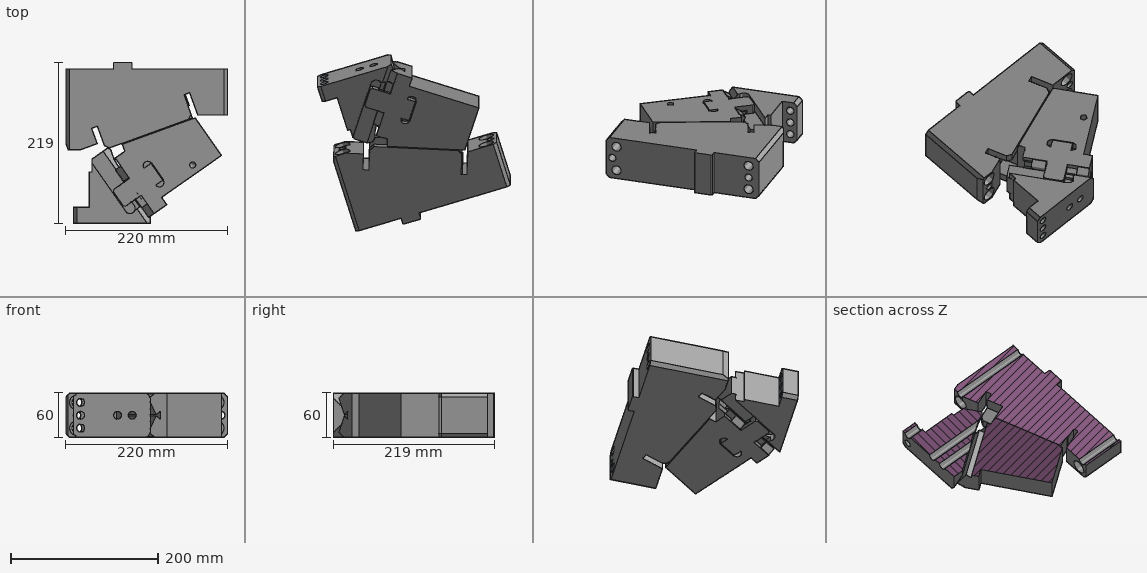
import cadquery as cq
import math

height = 60.0
half_height = height / 2
travel_angle = 35.0
face_angle = 20.0
corner_chamfer = 5.0
reach = 400.0

block_length = 220.0
block_top_y = 210.0
block_left_y = 100.0
block_right_y = 147.0
block_slope_start_x = 20.0
block_corner_x = 3.0
block_corner_y = 108.5
block_foot_t = 87.1
block_face_t = 76.0
slot_bottom_t = 109.3
slot_width = 8.0
left_slot_s = 77.2
right_slot_s = 210.7
nose_chamfer = 5.5
nose_chamfer_depth = 5.0
ridge_pocket_t = 98.0
slot_pad_thickness = 1.8
slot_pad_length = 16.0

key_left_x = 64.5
key_right_x = 90.0
key_bottom_y = 200.0
key_top_y = 219.0
key_chamfer = 1.2

block_hole_diameter = 13.0
block_bore_diameter = 20.0
block_bore_depth = 13.0
block_hole_inset = 15.0
hole_spacing_z = 17.5
dowel_diameter = 10.2
right_dowel_inset = 9.0

v_angle = 60.0
v_apex_u = 107.8
v_slope = math.tan(math.radians(v_angle))
groove_set_back = 10.0
pad_tip_gap = 1.0
pad_clearance_u = 1.8
pad_top_z = 23.2
pad_fillet = 1.2
pad_top_slope = math.tan(math.radians(90 - v_angle))

foot_left_x = 10.0
foot_right_x = 115.0
foot_height_y = 22.0
web_left_x = 31.5
web_top_y = 70.0
web_step_x = 35.4
driver_end_v = 51.3
ridge_corner_u = 105.7
ridge_corner_v = 46.5
ridge_tip_u = 107.5
ridge_flat_u = 103.0
ridge_arc_radius = 60.0
shelf_u = 76.0
shelf_z = 17.5
high_shelf_z = 22.0
shelf_end_v = -39.3
hook_slot_width = 14.0
hook_slot_end_v = -40.5
driver_hole_diameter = 10.5
driver_hole_inset = 10.0
driver_dowel_xs = (70.2, 90.2)

slider_front_u = 105.75
slider_back_u = 226.3
slider_top_t = 74.7
slider_left_s = 108.7
slider_upper_v = 34.4
slider_lower_v = -45.8
slider_foot_u = 126.9
slider_foot_v = -58.0
guide_layer = 25.0
groove_flat = 5.2
tongue_end_u = 77.5
tongue_top_v = 0.5
tongue_width = 28.0
tongue_thickness = half_height - shelf_z
tongue_chamfer = 2.5
tongue_back_u = 141.5
tongue_gap = 1.2
relief_u = 136.0
relief_radius = 6.0
hook_u = 88.8
pad_top_v = 21.0
notch_top_v = 1.8
notch_bottom_v = -41.7
notch_z = 22.9
pin_x = 172.4
pin_y = 79.4
pin_diameter = 8.4
pin_depth = 20.0
pin_tip_angle = 118.0


def place(angle, along, across):
    """XY position of a point given along and across a direction tilted from +X."""
    c = math.cos(math.radians(angle))
    s = math.sin(math.radians(angle))
    return (along * c - across * s, along * s + across * c)


def uv(u, v):
    return place(travel_angle, u, v)


def st(s, t):
    return place(face_angle, s, t)


def layer(points, z_low, z_high):
    return cq.Workplane("XY").workplane(offset=z_low).polyline(points).close().extrude(z_high - z_low)


def tilted_box(frame, along, across, z_low, z_high):
    """Box between two limits along and two limits across the uv or st frame."""
    a0, a1 = along
    b0, b1 = across
    return layer([frame(a0, b0), frame(a1, b0), frame(a1, b1), frame(a0, b1)], z_low, z_high)


def v_prism(section, v_low, v_high):
    """Prism with a section in u and z that runs along the V guide."""
    angle = math.radians(travel_angle)
    plane = cq.Plane(
        origin=(*uv(0, v_high), 0),
        xDir=(math.cos(angle), math.sin(angle), 0),
        normal=(math.sin(angle), -math.cos(angle), 0),
    )
    return cq.Workplane(plane).polyline(section).close().extrude(v_high - v_low)


def mirrored(body):
    """The body together with its mirror image below the middle plane."""
    return body.union(body.mirror("XY"))


def y_hole(x, z, diameter, y_low, length):
    """Cylinder along +Y, used as a cutter."""
    return cq.Workplane("XZ", origin=(x, y_low, z)).circle(diameter / 2).extrude(-length)


def edge_bevel(x, inward):
    """Prisms that bevel the top and bottom edges of a face normal to X."""
    section = [
        (x, half_height),
        (x + inward * corner_chamfer, half_height),
        (x, half_height - corner_chamfer),
    ]
    return mirrored(cq.Workplane("XZ").polyline(section).close().extrude(reach, both=True))


def make_block():
    left_slot_inner_s = left_slot_s + slot_width
    right_slot_outer_s = right_slot_s + slot_width
    tilt = math.radians(face_angle)
    right_slot_mouth_x = (right_slot_outer_s - block_right_y * math.sin(tilt)) / math.cos(tilt)
    outline = [
        (0, block_top_y),
        (0, block_corner_y),
        (block_corner_x, block_left_y),
        (block_slope_start_x, block_left_y),
        st(left_slot_s, block_foot_t),
        st(left_slot_s, slot_bottom_t),
        st(left_slot_inner_s, slot_bottom_t),
        st(left_slot_inner_s, block_face_t + nose_chamfer),
        st(left_slot_inner_s + nose_chamfer, block_face_t),
        st(right_slot_s, block_face_t),
        st(right_slot_s, slot_bottom_t),
        st(right_slot_outer_s, slot_bottom_t),
        (right_slot_mouth_x, block_right_y),
        (block_length, block_right_y),
        (block_length, block_top_y),
    ]
    body = layer(outline, -half_height, half_height)
    body = body.cut(edge_bevel(0, 1)).cut(edge_bevel(block_length, -1))

    nose = layer(
        [
            st(right_slot_s, block_face_t),
            st(right_slot_s, block_face_t + nose_chamfer),
            st(right_slot_s - nose_chamfer, block_face_t),
        ],
        half_height - nose_chamfer_depth,
        half_height,
    )
    body = body.cut(mirrored(nose))

    body = body.cut(
        tilted_box(
            st, (left_slot_s, slider_left_s), (block_face_t, ridge_pocket_t), -shelf_z, shelf_z
        )
    )

    body = body.union(
        tilted_box(
            st,
            (right_slot_s, right_slot_s + slot_pad_thickness),
            (slot_bottom_t - slot_pad_length, slot_bottom_t),
            -guide_layer,
            guide_layer,
        )
    )

    for x, mouth_y in ((block_hole_inset, block_left_y), (block_length - block_hole_inset, block_right_y)):
        for z in (-hole_spacing_z, hole_spacing_z):
            body = body.cut(y_hole(x, z, block_hole_diameter, mouth_y, reach))
            body = body.cut(y_hole(x, z, block_bore_diameter, mouth_y, block_bore_depth))

    for x in (block_hole_inset, block_length - right_dowel_inset):
        body = body.cut(y_hole(x, 0, dowel_diameter, 0, reach))

    key = (
        cq.Workplane("XY")
        .box(key_right_x - key_left_x, key_top_y - key_bottom_y, height)
        .edges("|Z and >Y")
        .chamfer(key_chamfer)
        .translate(((key_left_x + key_right_x) / 2, (key_bottom_y + key_top_y) / 2, 0))
    )
    key_seat = (
        cq.Workplane("XY")
        .box(key_right_x - key_left_x, block_top_y - key_bottom_y, height)
        .translate(((key_left_x + key_right_x) / 2, (key_bottom_y + block_top_y) / 2, 0))
    )
    return body.cut(key_seat).union(key, clean=False)


def make_driver():
    tilt = math.radians(travel_angle)
    web_corner_y = (driver_end_v + web_step_x * math.sin(tilt)) / math.cos(tilt)
    flat_end_y = (ridge_flat_u - foot_right_x * math.cos(tilt)) / math.sin(tilt)
    arc_length = math.sqrt(2 * ridge_arc_radius * (ridge_tip_u - ridge_flat_u))
    arc_start_v = ridge_corner_v - arc_length
    arc_mid_u = ridge_flat_u + (arc_length / 2) ** 2 / (2 * ridge_arc_radius)
    body = (
        cq.Workplane("XY")
        .workplane(offset=-half_height)
        .moveTo(foot_left_x, 0)
        .lineTo(foot_right_x, 0)
        .lineTo(foot_right_x, flat_end_y)
        .lineTo(*uv(ridge_flat_u, arc_start_v))
        .threePointArc(uv(arc_mid_u, arc_start_v + arc_length / 2), uv(ridge_tip_u, ridge_corner_v))
        .lineTo(*uv(ridge_corner_u, driver_end_v))
        .lineTo(web_step_x, web_corner_y)
        .lineTo(web_step_x, web_top_y)
        .lineTo(web_left_x, web_top_y)
        .lineTo(web_left_x, foot_height_y)
        .lineTo(foot_left_x, foot_height_y)
        .close()
        .extrude(height)
    )
    body = body.cut(edge_bevel(foot_left_x, 1))

    above_ridge = [
        (v_apex_u, 0),
        (v_apex_u - height / v_slope, height),
        (v_apex_u + height, height),
        (v_apex_u + height, 0),
    ]
    body = body.cut(mirrored(v_prism(above_ridge, -reach, reach)))

    beyond_v = driver_end_v + height
    low_shelf = tilted_box(uv, (shelf_u, v_apex_u), (tongue_top_v, beyond_v), shelf_z, height)
    slot_radius = hook_slot_width / 2
    hook_centre_u = shelf_u + slot_radius
    high_shelf = tilted_box(
        uv, (hook_centre_u, v_apex_u), (shelf_end_v, tongue_top_v), high_shelf_z, height
    )
    body = body.cut(mirrored(low_shelf)).cut(mirrored(high_shelf))

    slot_end_centre_v = hook_slot_end_v + slot_radius
    slot = tilted_box(
        uv, (shelf_u, shelf_u + hook_slot_width), (slot_end_centre_v, tongue_top_v), shelf_z, height
    )
    slot_end = (
        cq.Workplane("XY")
        .workplane(offset=shelf_z)
        .center(*uv(hook_centre_u, slot_end_centre_v))
        .circle(slot_radius)
        .extrude(height - shelf_z)
    )
    body = body.cut(mirrored(slot)).cut(mirrored(slot_end))

    foot_hole_x = foot_left_x + driver_hole_inset
    for z in (-hole_spacing_z, 0, hole_spacing_z):
        body = body.cut(y_hole(foot_hole_x, z, driver_hole_diameter, 0, foot_height_y))
    for x in driver_dowel_xs:
        body = body.cut(y_hole(x, 0, driver_hole_diameter, 0, reach))
    return body


def slider_plate():
    relative = math.radians(travel_angle - face_angle)
    right_s = (slider_back_u - slider_top_t * math.sin(relative)) / math.cos(relative)
    left_u = slider_left_s / math.cos(relative) + slider_upper_v * math.tan(relative)
    outline = [
        uv(slider_front_u, slider_foot_v),
        uv(slider_foot_u, slider_foot_v),
        uv(slider_foot_u, slider_lower_v),
        uv(slider_back_u, slider_lower_v),
        st(right_s, slider_top_t),
        st(slider_left_s, slider_top_t),
        uv(left_u, slider_upper_v),
        uv(slider_front_u, slider_upper_v),
    ]
    plate = layer(outline, -half_height, half_height)
    raised_face = tilted_box(
        st,
        (slider_left_s, right_slot_s),
        (slider_top_t, block_face_t),
        -guide_layer,
        guide_layer,
    )
    return plate.union(raised_face)


def make_slider():
    body = slider_plate()

    groove_apex_u = v_apex_u + groove_set_back / math.sin(math.radians(v_angle))
    groove_bottom_u = groove_apex_u - groove_flat / v_slope
    groove_mouth_z = (groove_apex_u - slider_front_u) * v_slope
    groove = [
        (slider_front_u, groove_mouth_z),
        (groove_bottom_u, groove_flat),
        (groove_bottom_u, -groove_flat),
        (slider_front_u, -groove_mouth_z),
    ]
    body = body.cut(v_prism(groove, -reach, reach))

    pad_middle_v = (slider_foot_v + pad_top_v) / 2
    pad_apex_u = v_apex_u + pad_clearance_u
    pad_outer_u = pad_apex_u - pad_top_z / v_slope
    pad = [
        (pad_outer_u, pad_top_z),
        (pad_apex_u - pad_tip_gap / v_slope, pad_tip_gap),
        (groove_bottom_u, groove_flat),
        (slider_front_u, groove_mouth_z),
        (slider_front_u, pad_top_z + (slider_front_u - pad_outer_u) * pad_top_slope),
    ]
    outer_pad = v_prism(pad, slider_foot_v, pad_top_v)
    outer_edge = cq.selectors.NearestToPointSelector((*uv(pad_outer_u, pad_middle_v), pad_top_z))
    pads = mirrored(outer_pad.edges(outer_edge).fillet(pad_fillet))
    tongue_bottom_v = tongue_top_v - tongue_width
    notch = tilted_box(
        uv, (tongue_end_u, slider_front_u), (notch_bottom_v, notch_top_v), notch_z, half_height
    )
    body = body.union(pads.cut(mirrored(notch)))

    tongue_sides = (tongue_bottom_v, tongue_top_v)
    tongue = layer(
        [
            uv(slider_front_u, tongue_bottom_v),
            uv(slider_front_u, tongue_top_v),
            uv(tongue_end_u + tongue_chamfer, tongue_top_v),
            uv(tongue_end_u, tongue_top_v - tongue_chamfer),
            uv(tongue_end_u, tongue_bottom_v + tongue_chamfer),
            uv(tongue_end_u + tongue_chamfer, tongue_bottom_v),
        ],
        shelf_z,
        half_height,
    )
    tongue = tongue.cut(tilted_box(uv, (hook_u, slider_front_u), tongue_sides, shelf_z, notch_z))
    tongue_root = tilted_box(uv, (slider_front_u, tongue_back_u), tongue_sides, shelf_z, half_height)
    body = body.union(mirrored(tongue))

    relief = tilted_box(uv, (relief_u, tongue_back_u + tongue_gap), tongue_sides, shelf_z, half_height)
    for v in tongue_sides:
        corner = (
            cq.Workplane("XY")
            .workplane(offset=shelf_z)
            .center(*uv(relief_u, v))
            .circle(relief_radius)
            .extrude(tongue_thickness)
        )
        relief = relief.union(corner)
    body = body.cut(mirrored(relief.cut(tongue_root)))

    pin_radius = pin_diameter / 2
    tip_depth = pin_radius / math.tan(math.radians(pin_tip_angle / 2))
    pin_hole = (
        cq.Workplane("XZ")
        .moveTo(0, half_height)
        .lineTo(pin_radius, half_height)
        .lineTo(pin_radius, half_height - pin_depth)
        .lineTo(0, half_height - pin_depth - tip_depth)
        .close()
        .revolve(360, (0, 0), (0, 1))
        .translate((pin_x, pin_y, 0))
    )
    return body.cut(pin_hole)


block = make_block()
driver = make_driver()
slider = make_slider()

result = cq.Compound.makeCompound([block.val(), driver.val(), slider.val()])